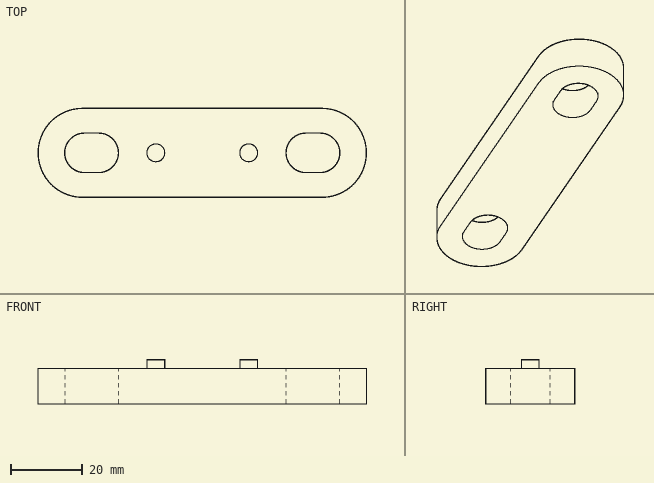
import cadquery as cq

plate_length = 92.0
plate_width = 25.0
plate_height = 10.0

slot_length = 15.0
slot_width = 11.0
slot_offset = 31.0

pin_diameter = 5.0
pin_height = 2.5
pin_offset = 13.0


def make_plate():
    return cq.Workplane("XY").slot2D(plate_length, plate_width).extrude(plate_height)


def make_slots():
    return (
        cq.Workplane("XY")
        .pushPoints([(-slot_offset, 0.0), (slot_offset, 0.0)])
        .slot2D(slot_length, slot_width)
        .extrude(plate_height)
    )


def make_pins():
    return (
        cq.Workplane("XY")
        .workplane(offset=plate_height)
        .pushPoints([(-pin_offset, 0.0), (pin_offset, 0.0)])
        .circle(pin_diameter / 2)
        .extrude(pin_height)
    )


result = make_plate().cut(make_slots()).union(make_pins())